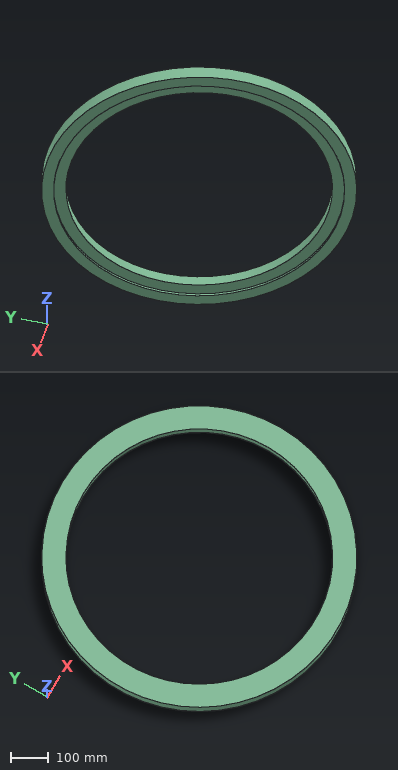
import cadquery as cq

outer_diameter = 840.0
bore_diameter = 710.0
thickness = 40.0

recess_depth = 7.5
recess_diameter = (outer_diameter + bore_diameter) / 2

ring = (
    cq.Workplane("XY")
    .circle(outer_diameter / 2)
    .circle(bore_diameter / 2)
    .extrude(thickness)
)

underside_recess = cq.Workplane("XY").circle(recess_diameter / 2).extrude(recess_depth)

result = ring.cut(underside_recess)